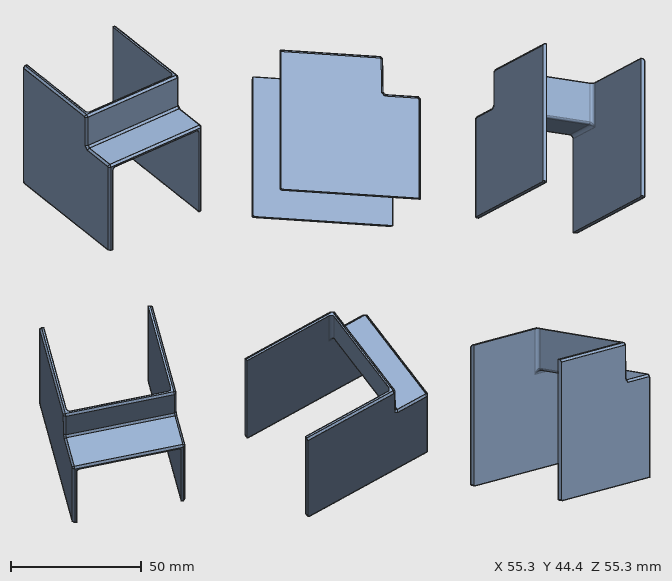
import cadquery as cq

size = 55.25
width = 44.4
side_wall = 1.65
web_wall = 1.5
shoulder = 40.35
draft_run = 0.15
outer_chamfer = 0.85
foot_chamfer = 0.45
inner_radius = 1.4
bend_radius = 0.95

channel_width = width - 2 * side_wall
channel_end = shoulder - web_wall
step_foot = shoulder + draft_run


def make_outer_body():
    """Stepped block with bevelled outer edges, plain on its lower and -X faces."""
    block = (
        cq.Workplane("XZ")
        .moveTo(foot_chamfer, 0)
        .lineTo(size, 0)
        .lineTo(size, shoulder - outer_chamfer)
        .lineTo(size - outer_chamfer, shoulder)
        .lineTo(step_foot + outer_chamfer, shoulder)
        .lineTo(step_foot, shoulder + outer_chamfer)
        .lineTo(shoulder, size - outer_chamfer)
        .lineTo(shoulder - outer_chamfer, size)
        .lineTo(0, size)
        .lineTo(0, foot_chamfer)
        .close()
        .extrude(width / 2, both=True)
    )
    tolerance = 0.005
    rim_edges = block.faces("|Y").edges().filter(
        lambda edge: edge.Center().z > foot_chamfer
        and edge.Center().x > foot_chamfer
        and abs(edge.Center().y) > width / 2 - tolerance
    )
    return block.newObject(rim_edges.vals()).chamfer(outer_chamfer)


def make_channel_leg(length_x, length_z):
    """Channel leg from the origin corner, with rounded long edges."""
    leg = cq.Workplane("XY").box(length_x, channel_width, length_z, centered=(False, True, False))
    if length_z > length_x:
        return leg.edges(">X and |Z").fillet(inner_radius)
    return leg.edges(">Z and |X").fillet(inner_radius)


def make_channel():
    """L-shaped channel: an upright leg open at the top and a level leg open at +X."""
    upright_leg = make_channel_leg(channel_end, size)
    level_leg = make_channel_leg(size, channel_end)
    return upright_leg.union(level_leg)


def round_inside_bend(body):
    """Round the web edge where its upright and level inner faces meet."""
    bend_edge = cq.selectors.NearestToPointSelector((channel_end, 0, channel_end))
    return body.edges(bend_edge).fillet(bend_radius)


result = round_inside_bend(make_outer_body().cut(make_channel()))